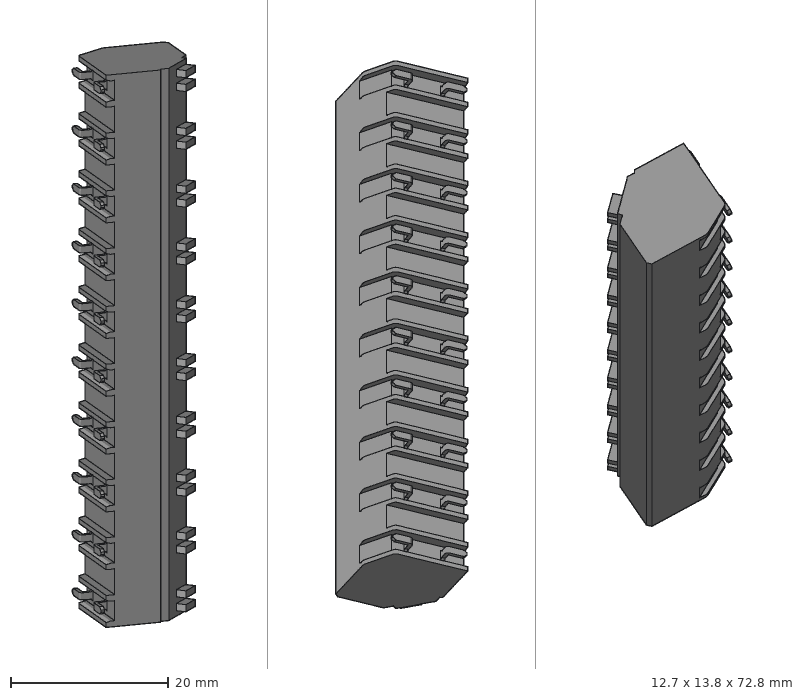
import cadquery as cq
import math

length = 72.8
width = 12.7
rib_tip_y = 0.6
floor_y = 1.75
back_y = 13.55
pole_count = 10
pole_half_height = 2.1
pocket_half_height = 1.3
pole_pitch = (length - 2 * pole_half_height) / (pole_count - 1)
pole_heights = [pole_half_height + i * pole_pitch for i in range(pole_count)]

lip_depth = 0.6
lip_half_height = 1.45

bevel_angle = math.radians(30)
bevel_slope = math.tan(bevel_angle)
bevel_start_y = 4.8
bevel_start_radius = 1.25
bevel_end_radius = 0.6
back_chamfer = 0.5

slope_sum = 21.5
notch_top_x = 7.0
notch_x = 7.9
notch_y = 12.6
slope_top_x = 8.45
slope_end_x = 12.0
ledge_x = 12.3
ledge_top_y = 9.25
ledge_bottom_y = 8.15
side_top_y = 7.9

button_top = (9.5, 13.8)
button_length = 2.85
button_depth = 1.6
button_height = 0.95
button_offset = 0.91

contact_centre_x = 7.05
leg_inner = 2.3
foot_tip = 5.25
metal_thickness = 0.5
bend_radius = 0.45
contact_half_height = 0.47
tip_length = 0.45
tip_half_height = 0.15
flare_half_height = 0.7
flare_length = 0.3
root_depth = 0.4


def bevel_x(start_y, y):
    """X of a bevel plane that leaves the -X face at start_y."""
    return (start_y - y) * bevel_slope


def inset_bevel_start(depth):
    """Y at which a bevel plane set back by depth leaves the -X face."""
    return bevel_start_y + depth / math.sin(bevel_angle)


def make_block():
    outline = [
        (0, bevel_start_y),
        (bevel_x(bevel_start_y, rib_tip_y), rib_tip_y),
        (width, rib_tip_y),
        (width, side_top_y),
        (ledge_x, ledge_bottom_y),
        (ledge_x, ledge_top_y),
        (slope_end_x, slope_sum - slope_end_x),
        (slope_top_x, slope_sum - slope_top_x),
        (notch_x, notch_y),
        (notch_top_x, back_y),
        (back_chamfer, back_y),
        (0, back_y - back_chamfer),
    ]
    block = cq.Workplane("XY").polyline(outline).close().extrude(length)
    start_corner = cq.selectors.NearestToPointSelector((0, bevel_start_y, length / 2))
    block = block.edges(start_corner).fillet(bevel_start_radius)
    bevel_end_x = bevel_x(bevel_start_y, rib_tip_y)
    end_corner = cq.selectors.NearestToPointSelector((bevel_end_x, rib_tip_y, length / 2))
    return block.edges(end_corner).fillet(bevel_end_radius)


def make_gap():
    """Open space above one pole, with z measured from that pole's centre."""
    gap_height = pole_pitch - 2 * pole_half_height
    return cq.Workplane("XY", origin=(0, 0, pole_half_height)).box(
        width, floor_y, gap_height, centered=False)


def open_region(base_y, bevel_depth):
    """Corners of the empty area in front of a face at base_y and a bevel set back by bevel_depth."""
    start_y = inset_bevel_start(bevel_depth)
    return [
        (0, 0),
        (width, 0),
        (width, base_y),
        (bevel_x(start_y, base_y), base_y),
        (0, start_y),
    ]


def make_pocket():
    """Space inside one pole, with z measured from the pole centre."""
    pocket = (
        cq.Workplane("XY")
        .polyline(open_region(floor_y, lip_depth))
        .close()
        .extrude(pocket_half_height, both=True)
    )
    upper_lip = (
        cq.Workplane("XY", origin=(0, 0, pocket_half_height))
        .polyline(open_region(rib_tip_y + lip_depth, lip_depth))
        .close()
        .workplane(offset=lip_half_height - pocket_half_height)
        .polyline(open_region(rib_tip_y, 0))
        .close()
        .loft(ruled=True)
    )
    lower_lip = upper_lip.mirror("XY")
    return pocket.union(upper_lip).union(lower_lip)


def make_button():
    diagonal = math.sqrt(0.5)
    along = button_length * diagonal
    inward = button_depth * diagonal
    x, y = button_top
    corners = [
        (x, y),
        (x + along, y - along),
        (x + along - inward, y - along - inward),
        (x - inward, y - inward),
    ]
    return cq.Workplane("XY").polyline(corners).close().extrude(button_height / 2, both=True)


def make_contact():
    """Leg on the +X side, with x measured from the centre between the legs and z from the pole centre."""
    root_y = floor_y + root_depth
    side = (
        cq.Workplane("XY")
        .moveTo(leg_inner, root_y)
        .lineTo(leg_inner, bend_radius)
        .radiusArc((leg_inner + bend_radius, 0), -bend_radius)
        .lineTo(foot_tip, 0)
        .lineTo(foot_tip, metal_thickness)
        .lineTo(leg_inner + metal_thickness, metal_thickness)
        .lineTo(leg_inner + metal_thickness, root_y)
        .close()
        .extrude(flare_half_height, both=True)
    )
    strip_half = [
        (leg_inner, contact_half_height),
        (foot_tip - tip_length, contact_half_height),
        (foot_tip, tip_half_height),
    ]
    strip_outline = strip_half + [(x, -z) for x, z in reversed(strip_half)]
    strip = cq.Workplane("XZ").polyline(strip_outline).close().extrude(-root_y)
    flare_half = [
        (floor_y - flare_length, contact_half_height),
        (floor_y, flare_half_height),
        (root_y, flare_half_height),
    ]
    flare_outline = flare_half + [(y, -z) for y, z in reversed(flare_half)]
    flare = cq.Workplane("YZ").polyline(flare_outline).close().extrude(foot_tip)
    return side.intersect(strip.union(flare))


def copies(shape, heights):
    """One copy of shape at each height, x and y unchanged."""
    return cq.Workplane("XY").newObject([shape.val().translate(cq.Vector(0, 0, z)) for z in heights])


right_contact = make_contact()
contact_centre = (contact_centre_x, 0, 0)
button_heights = [z + offset for z in pole_heights for offset in (-button_offset, button_offset)]

result = (
    make_block()
    .cut(copies(make_pocket(), pole_heights))
    .cut(copies(make_gap(), pole_heights[:-1]))
    .union(copies(right_contact.translate(contact_centre), pole_heights))
    .union(copies(right_contact.mirror("YZ").translate(contact_centre), pole_heights))
    .union(copies(make_button(), button_heights))
)